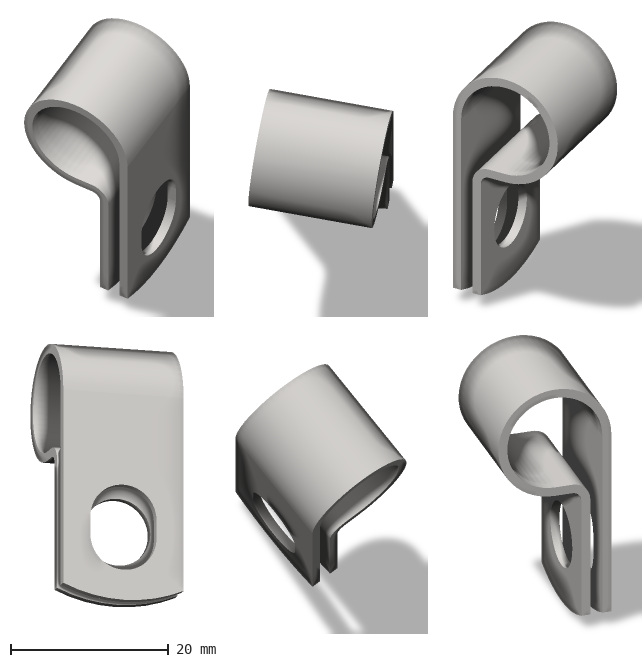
import cadquery as cq
import math

height = 34.47
width = 15.9
thickness = 1.2
outer_radius = 7.565
inner_radius = outer_radius - thickness

leg_gap = 1.62
short_leg_right = inner_radius - leg_gap
leg_gap_middle = inner_radius - leg_gap / 2
short_leg_left = short_leg_right - thickness
bottom = outer_radius - height

bend_inner = 1.2
bend_outer = bend_inner + thickness
bend_x = short_leg_right - bend_outer
bend_z = -inner_radius - bend_outer

hole_diameter = 8.72
hole_height = 9.48
slot_travel = 2.38
end_rise = 1.7

blank_reach = 2 * outer_radius


def strap():
    """Constant-thickness strip wrapped around the loop and down both legs."""
    diagonal = math.sqrt(0.5)
    profile = (
        cq.Workplane("XZ")
        .moveTo(outer_radius, bottom)
        .lineTo(outer_radius, 0)
        .threePointArc((-outer_radius * diagonal, outer_radius * diagonal), (0, -outer_radius))
        .lineTo(bend_x, -outer_radius)
        .radiusArc((short_leg_left, bend_z), bend_inner)
        .lineTo(short_leg_left, bottom)
        .lineTo(short_leg_right, bottom)
        .lineTo(short_leg_right, bend_z)
        .radiusArc((bend_x, -inner_radius), -bend_outer)
        .lineTo(0, -inner_radius)
        .threePointArc((-inner_radius * diagonal, inner_radius * diagonal), (inner_radius, 0))
        .lineTo(inner_radius, bottom)
        .close()
    )
    return profile.extrude(width / 2, both=True)


def side_outline():
    """Side silhouette, straight above and bowed downward at the leg ends."""
    half_width = width / 2
    corner_z = bottom + end_rise
    return (
        cq.Workplane("YZ")
        .moveTo(-half_width, blank_reach)
        .lineTo(-half_width, corner_z)
        .threePointArc((0, bottom), (half_width, corner_z))
        .lineTo(half_width, blank_reach)
        .close()
        .extrude(blank_reach, both=True)
    )


def clamp_hole():
    """Round hole through the short leg, on the way to the slot in the long leg."""
    return (
        cq.Workplane("YZ")
        .workplane(offset=leg_gap_middle)
        .center(0, bottom + hole_height)
        .circle(hole_diameter / 2)
        .extrude(-blank_reach)
    )


def clamp_slot():
    """Vertical slot through the long leg, centred on the round hole."""
    return (
        cq.Workplane("YZ")
        .workplane(offset=leg_gap_middle)
        .center(0, bottom + hole_height)
        .slot2D(hole_diameter + slot_travel, hole_diameter, 90)
        .extrude(blank_reach)
    )


result = strap().intersect(side_outline()).cut(clamp_hole()).cut(clamp_slot())